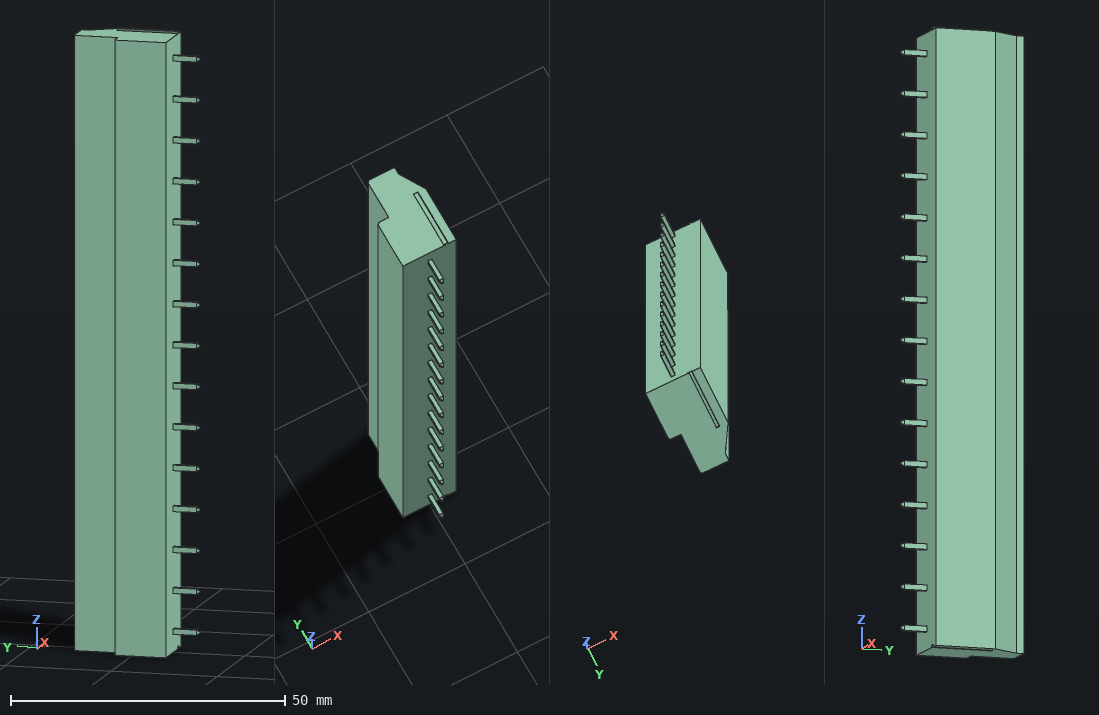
import cadquery as cq

width = 11.1
total_length = 23.0
total_height = 114.9

pin_length = 4.9
body_depth = total_length - pin_length
step_width = 2.4
step_depth = 9.8
back_right = 8.2
slope_back = 16.5
slope_front = 11.5
edge_radius = 0.6

rail_height = 0.5
rail_left = 8.8
rail_right = 9.4
rail_undercut = 0.3
body_height = total_height - rail_height

pin_count = 15
pin_row_length = 106.6
pin_pitch = pin_row_length / (pin_count - 1)
pin_x = 5.6
pin_width = 0.8
pin_height = 1.0
pin_tip_length = 0.6
pin_tip_scale = 0.35


def housing():
    """Stepped profile extruded over the full row, with its two left edges rounded."""
    outline = [
        (0, 0),
        (width, 0),
        (width, slope_front),
        (back_right, slope_back),
        (back_right, body_depth),
        (step_width, body_depth),
        (step_width, step_depth),
        (0, step_depth),
    ]
    body = cq.Workplane("XY").polyline(outline).close().extrude(body_height)
    for x, y in [(0, step_depth), (step_width, body_depth)]:
        corner = cq.selectors.NearestToPointSelector((x, y, body_height / 2))
        body = body.edges(corner).fillet(edge_radius)
    return body


def rail(base_z):
    """Bar with an undercut left flank running back from the pin face."""
    section = [
        (rail_left, base_z),
        (rail_right, base_z),
        (rail_right, base_z + rail_height),
        (rail_left - rail_undercut, base_z + rail_height),
    ]
    return cq.Workplane("XZ").polyline(section).close().extrude(-slope_front)


def pin(z):
    """Rectangular pin with a tapered tip, rooted in the pin face."""
    shank_length = pin_length - pin_tip_length
    shank = (
        cq.Workplane("XZ", origin=(pin_x, 0, z))
        .rect(pin_width, pin_height)
        .extrude(shank_length)
    )
    tip = (
        cq.Workplane("XZ", origin=(pin_x, -shank_length, z))
        .rect(pin_width, pin_height)
        .workplane(offset=pin_tip_length)
        .rect(pin_width * pin_tip_scale, pin_height * pin_tip_scale)
        .loft()
    )
    return shank.union(tip)


result = housing().union(rail(body_height)).cut(rail(0))
first_pin_z = (body_height - pin_row_length) / 2
for index in range(pin_count):
    result = result.union(pin(first_pin_z + index * pin_pitch))